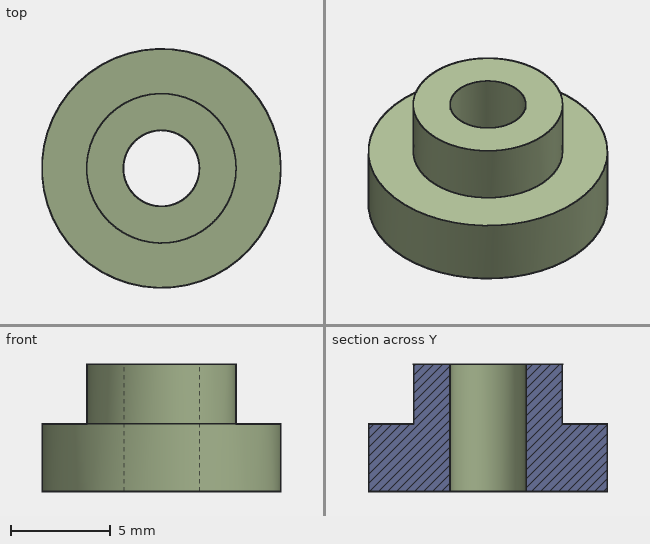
import cadquery as cq

flange_diameter = 12
boss_diameter = 7.5
bore_diameter = 3.8
total_height = 6.4
boss_height = 3
flange_height = total_height - boss_height

flange = cq.Workplane("XY").circle(flange_diameter / 2).extrude(flange_height)

bushing = flange.faces(">Z").workplane().circle(boss_diameter / 2).extrude(boss_height)

result = bushing.faces(">Z").workplane().circle(bore_diameter / 2).cutThruAll()